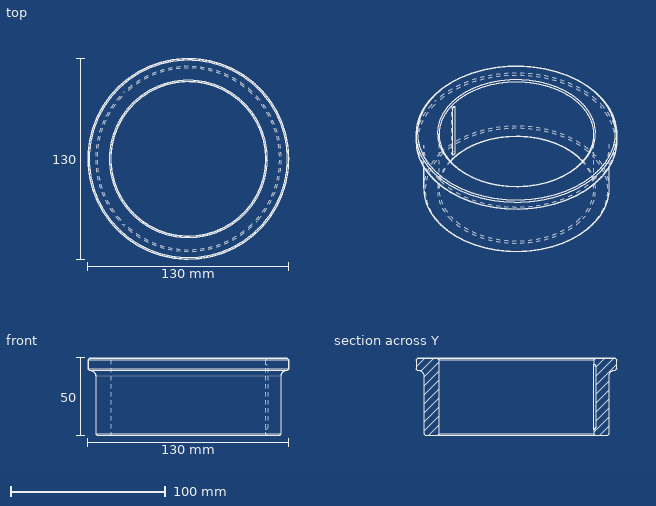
import cadquery as cq

height = 50.0
flange_diameter = 130
body_diameter = 120.0
bore_diameter = 100.0
flange_thickness = 8.0
edge_chamfer = 1.0
neck_fillet = 3.5

groove_length = 42.0
groove_width = 3.0
groove_depth = 1.4

flange_radius = flange_diameter / 2
body_radius = body_diameter / 2
bore_radius = bore_diameter / 2
flange_bottom = height - flange_thickness


def flanged_ring():
    """Revolve the chamfered half-section with its fillet below the flange."""
    quarter_offset = neck_fillet * (1 - 0.5**0.5)
    section = (
        cq.Workplane("XZ")
        .moveTo(bore_radius + edge_chamfer, 0)
        .lineTo(body_radius - edge_chamfer, 0)
        .lineTo(body_radius, edge_chamfer)
        .lineTo(body_radius, flange_bottom - neck_fillet)
        .threePointArc(
            (body_radius + quarter_offset, flange_bottom - quarter_offset),
            (body_radius + neck_fillet, flange_bottom),
        )
        .lineTo(flange_radius - edge_chamfer, flange_bottom)
        .lineTo(flange_radius, flange_bottom + edge_chamfer)
        .lineTo(flange_radius, height - edge_chamfer)
        .lineTo(flange_radius - edge_chamfer, height)
        .lineTo(bore_radius + edge_chamfer, height)
        .lineTo(bore_radius, height - edge_chamfer)
        .lineTo(bore_radius, edge_chamfer)
        .close()
    )
    return section.revolve(360, (0, 0, 0), (0, 1, 0))


def oil_groove():
    """Capsule-shaped cutter: a rod parallel to the bore axis with hemispherical ends."""
    groove_radius = groove_width / 2
    axis_distance = bore_radius + groove_depth - groove_radius
    straight_length = groove_length - groove_width
    rod_bottom = (height - straight_length) / 2
    cutter = (
        cq.Workplane("XY", origin=(axis_distance, 0, rod_bottom))
        .circle(groove_radius)
        .extrude(straight_length)
    )
    for end_height in (rod_bottom, rod_bottom + straight_length):
        end_ball = cq.Workplane("XY").sphere(groove_radius)
        cutter = cutter.union(end_ball.translate((axis_distance, 0, end_height)))
    return cutter


result = flanged_ring().cut(oil_groove())